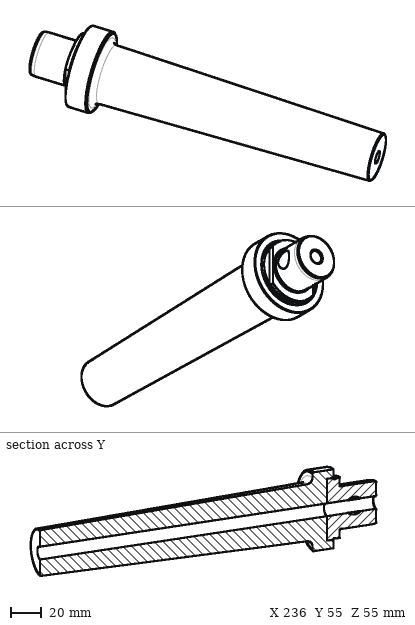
import cadquery as cq
import math


bore_radius = 4.25
bore_countersink = 0.7

plug_radius = 15.0
nose_radius = 14.1
nose_bevel_length = 0.9
nose_bevel_radius = 14.7
lead_in_start = 1.7
lead_in_radius = 14.85
lead_in_end = 3.7
relief_start = 24.2
relief_middle = 25.0
relief_radius = 14.6
relief_flare_radius = 15.4

collar_front = 25.7
collar_radius = 21.0
collar_bevel_start = 28.3
neck_radius = 20.3
flat_half_width = 16.0

seat_front = 29.4
seat_radius = 21.6
seat_bevel = 1.1
seat_rear = 35.0

cross_hole_x = 15.6
cross_hole_radius = 6.0

flange_front = 30.0
flange_thickness = 15.0
flange_rear = flange_front + flange_thickness
flange_radius = 27.5
flange_rear_chamfer = 1.0
flange_front_chamfer = 0.4
recess_chamfer = 0.8

arbor_end = 236.0
shank_root_radius = 19.9
shank_end_radius = 16.05
shank_end_chamfer = 0.6
root_fillet = 3.8
root_fillet_end = flange_rear + root_fillet


def bore_core():
    """Cylinder that clears the bore through the insert."""
    return cq.Workplane("YZ").circle(bore_radius).extrude(seat_rear)


def turned_insert():
    """Plug, relief, collar and seat turned about X."""
    profile = (
        cq.Workplane("XZ")
        .moveTo(0, 0)
        .lineTo(0, nose_radius)
        .lineTo(nose_bevel_length, nose_bevel_radius)
        .lineTo(lead_in_start, lead_in_radius)
        .lineTo(lead_in_end, plug_radius)
        .lineTo(relief_start, plug_radius)
        .lineTo(relief_middle, relief_radius)
        .lineTo(collar_front, relief_flare_radius)
        .lineTo(collar_front, collar_radius)
        .lineTo(collar_bevel_start, collar_radius)
        .lineTo(seat_front, neck_radius)
        .lineTo(seat_front, seat_radius - seat_bevel)
        .lineTo(seat_front + seat_bevel, seat_radius)
        .lineTo(seat_rear, seat_radius)
        .lineTo(seat_rear, 0)
        .close()
    )
    return profile.revolve(360, (0, 0, 0), (1, 0, 0))


def collar_flat(side):
    """Block removed from the collar to leave a wrench flat on one Y side."""
    depth = collar_radius - flat_half_width
    return (
        cq.Workplane("XY")
        .box(seat_front - collar_front, depth, 2 * collar_radius)
        .translate(((collar_front + seat_front) / 2, side * (flat_half_width + depth / 2), 0))
    )


def cross_hole():
    """Radial hole from the +Y side of the plug down to the bore axis."""
    return (
        cq.Workplane("XZ", origin=(cross_hole_x, 0, 0))
        .circle(cross_hole_radius)
        .extrude(-plug_radius)
    )


def bore_mouth():
    """Countersink where the bore opens at the plug nose."""
    return cq.Workplane(
        cq.Solid.makeCone(
            bore_radius + bore_countersink,
            bore_radius,
            bore_countersink,
            pnt=cq.Vector(0, 0, 0),
            dir=cq.Vector(1, 0, 0),
        )
    )


def coupling_insert():
    """Turned blank with both collar flats, the cross hole and the bore cut from it."""
    body = turned_insert()
    for side in (-1, 1):
        body = body.cut(collar_flat(side))
    body = body.cut(cross_hole())
    body = body.cut(bore_core())
    return body.cut(bore_mouth())


def turned_arbor():
    """Flange with a chamfered seat recess, root fillet and tapered shank, turned about X."""
    fillet_centre_radius = shank_root_radius + root_fillet
    fillet_middle = (
        root_fillet_end - root_fillet * math.sqrt(0.5),
        fillet_centre_radius - root_fillet * math.sqrt(0.5),
    )
    profile = (
        cq.Workplane("XZ")
        .moveTo(seat_rear, bore_radius)
        .lineTo(seat_rear, seat_radius)
        .lineTo(flange_front + recess_chamfer, seat_radius)
        .lineTo(flange_front, seat_radius + recess_chamfer)
        .lineTo(flange_front, flange_radius - flange_front_chamfer)
        .lineTo(flange_front + flange_front_chamfer, flange_radius)
        .lineTo(flange_rear - flange_rear_chamfer, flange_radius)
        .lineTo(flange_rear, flange_radius - flange_rear_chamfer)
        .lineTo(flange_rear, fillet_centre_radius)
        .threePointArc(fillet_middle, (root_fillet_end, shank_root_radius))
        .lineTo(arbor_end - shank_end_chamfer, shank_end_radius)
        .lineTo(arbor_end, shank_end_radius - shank_end_chamfer)
        .lineTo(arbor_end, bore_radius)
        .close()
    )
    return profile.revolve(360, (0, 0, 0), (1, 0, 0))


insert = coupling_insert()
arbor = turned_arbor()

result = cq.Compound.makeCompound([insert.val(), arbor.val()])